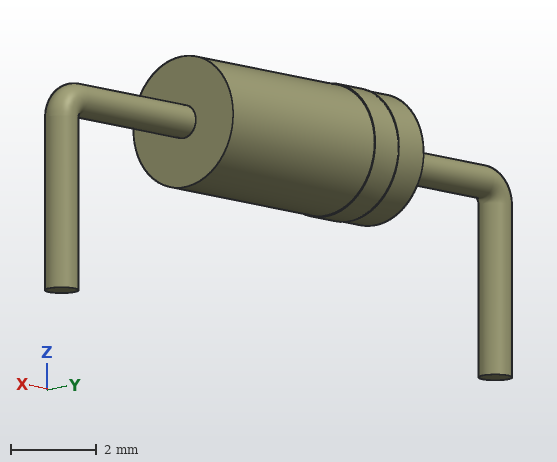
import cadquery as cq

overall_length = 16.02
lead_diameter = 0.78
bend_radius = 0.5
axis_height = 4.57

body_diameter = 3.1
body_length = 6.7
band_diameter = 3.15
band_width = 0.83
band_inset = 0.9

lead_offset = (overall_length - lead_diameter) / 2


def cylinder_along_x(start_x, length, diameter):
    plane = cq.Workplane("YZ", origin=(start_x, 0, axis_height))
    return plane.circle(diameter / 2).extrude(length)


def bent_wire():
    """Both leads as one wire: up, round a bend, through the body, and down again."""
    path = (
        cq.Workplane("XZ")
        .moveTo(-lead_offset, 0)
        .lineTo(-lead_offset, axis_height - bend_radius)
        .tangentArcPoint((bend_radius, bend_radius))
        .lineTo(lead_offset - bend_radius, axis_height)
        .tangentArcPoint((bend_radius, -bend_radius))
        .lineTo(lead_offset, 0)
    )
    section = cq.Workplane("XY", origin=(-lead_offset, 0, 0)).circle(lead_diameter / 2)
    return section.sweep(path)


body_start = -body_length / 2
body = cylinder_along_x(body_start, body_length, body_diameter)
cathode_band = cylinder_along_x(body_start + band_inset, band_width, band_diameter)

result = body.union(cathode_band).union(bent_wire())